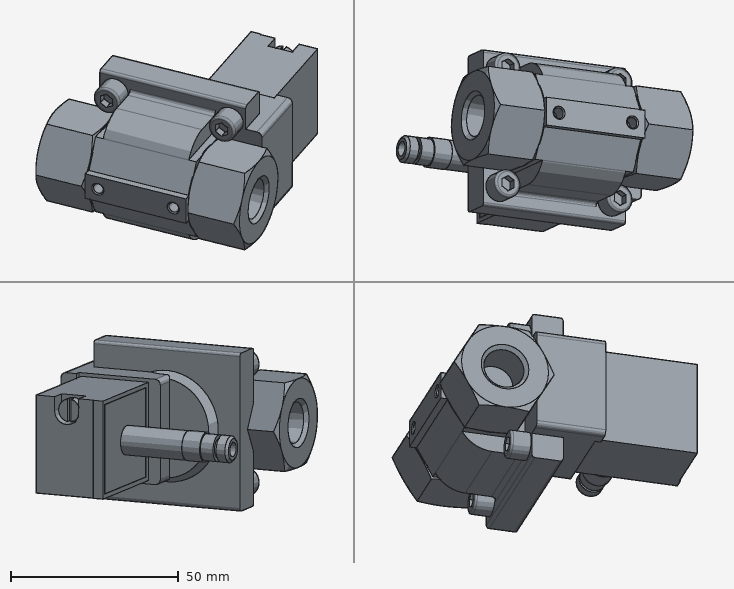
import cadquery as cq
import math


PIPE_LENGTH = 67.0
HEX_FLATS = 26.95
HEX_CHAMFER_ANGLE = 25
COLLAR_LENGTH = 0.2
NECK_LENGTH = 33.2
NECK_FLATS = 26.3
PORT_DIAMETER = 12.4
PORT_MOUTH_DIAMETER = 14.8
PORT_FLOOR_DIAMETER = 11.95
PORT_DEPTH = 12.0

CORE_LENGTH = 28.1
CORE_HALF_HEIGHT = 18.55
CORE_FILLET = 1.3
NECK_FILLET = 2.05

PAD_WIDTH = 8.6
PAD_FACE_Y = -14.9
PAD_HOLE_SPACING = 24.8
PAD_HOLE_DIAMETER = 3.2
PAD_HOLE_MOUTH_DIAMETER = 4.0
PAD_HOLE_DEPTH = 4.7

FLANGE_SIDE = 48.0
FLANGE_FRONT_Y = 11.15
FLANGE_BACK_Y = 20.9
FLANGE_FILLET = 0.95

SCREW_SPACING_X = 37.9
SCREW_SPACING_Z = 35.9
SCREW_HEAD_DIAMETER = 8.5
SCREW_HEAD_HEIGHT = 6.1
SCREW_HEAD_FILLET = 0.7
SOCKET_FLATS = 4.0
SOCKET_DEPTH = 2.5

COVER_BASE_DIAMETER = 33.8
COVER_TOP_DIAMETER = 30.3
COVER_TOP_Y = 24.0

HOUSING_LEFT_X = -2.35
HOUSING_RIGHT_X = 29.4
HOUSING_HEIGHT = 32.0
HOUSING_BACK_Y = 30.65
HOUSING_CORNER_RADIUS = 1.65
STEP_LEFT_X = 24.3
STEP_BACK_Y = 32.5

CONNECTOR_LEFT_X = 1.5
CONNECTOR_RIGHT_X = 23.6
CONNECTOR_HEIGHT = 29.8
CONNECTOR_BACK_Y = 62.7
LIP_RIGHT_X = 4.7
PANEL_BORDER_Y = 1.65
PANEL_BORDER_Z = 1.3
PANEL_RECESS = 0.15
PART_LENGTH = 78.6

POCKET_X = 13.5
POCKET_Z = 10.7
POCKET_DIAMETER = 7.85
POCKET_FLOOR_Y = 57.8
PIN_DIAMETER = 6.9
PIN_TOP_Y = 60.9
PIN_SLOT_WIDTH = 1.2
PIN_SLOT_DEPTH = 1.65

NOZZLE_Y = 45.7
NOZZLE_DIAMETER = 8.9
NOZZLE_STEP_X = -18.5
NOZZLE_STEP_DIAMETER = 9.0
NOZZLE_TIP_X = -24.4
NOZZLE_TIP_DIAMETER = 8.1
NOZZLE_END_X = -33.25
NOZZLE_END_CHAMFER = 0.8
GROOVE_LEFT_X = -29.55
GROOVE_RIGHT_X = -28.5
GROOVE_DIAMETER = 6.0
NOZZLE_BORE_DIAMETER = 4.3
NOZZLE_BORE_DEPTH = 6.3
DRILL_POINT_ANGLE = 118

COS_30 = math.cos(math.radians(30))
HEX_TIP_Y = HEX_FLATS / 2 / COS_30
CONNECTOR_LIP_Y = PART_LENGTH - HEX_TIP_Y
NECK_CORNER_Y = -NECK_FLATS / 2 * math.tan(math.radians(30))
CORE_ARC_RADIUS = 2 * (CORE_HALF_HEIGHT - NECK_FLATS / 2)
CORE_ARC_START_Y = NECK_CORNER_Y + CORE_ARC_RADIUS * COS_30


def box(x0, x1, y0, y1, height):
    """Box between two X and two Y positions, centred on Z = 0."""
    return cq.Workplane("XY").box(x1 - x0, y1 - y0, height).translate(((x0 + x1) / 2, (y0 + y1) / 2, 0))


def hex_bar(flats, x0, x1):
    """Hexagonal bar along X with its corners on the +Y and -Y sides."""
    return cq.Workplane("YZ", origin=(x0, 0, 0)).polygon(6, flats / COS_30).extrude(x1 - x0)


def rod_x(diameter, x0, x1, y=0):
    """Cylinder along X between two X positions."""
    return cq.Workplane("YZ", origin=(x0, y, 0)).circle(diameter / 2).extrude(x1 - x0)


def rod_y(diameter, x, y0, y1, z):
    """Cylinder along Y between two Y positions."""
    return cq.Workplane("XZ", origin=(x, y0, z)).circle(diameter / 2).extrude(y0 - y1)


def drill(diameter, depth):
    """Blind hole along +Z from the origin, ending in a drill point."""
    radius = diameter / 2
    point = radius / math.tan(math.radians(DRILL_POINT_ANGLE / 2))
    profile = cq.Workplane("XZ").polyline([(0, 0), (radius, 0), (radius, depth), (0, depth + point)]).close()
    return profile.revolve(360, (0, 0), (0, 1))


def pipe_end():
    """Right-hand hexagonal end with chamfered corners and a thin round collar on its inner side."""
    x0, x1 = NECK_LENGTH / 2, PIPE_LENGTH / 2
    flat_radius = HEX_FLATS / 2
    tip_rise = HEX_TIP_Y - flat_radius
    chamfer = tip_rise * math.tan(math.radians(HEX_CHAMFER_ANGLE))
    envelope = (
        cq.Workplane("XY")
        .moveTo(x0, 0)
        .lineTo(x0, flat_radius)
        .lineTo(x0 + chamfer, HEX_TIP_Y)
        .lineTo(x1 - chamfer, HEX_TIP_Y)
        .lineTo(x1, flat_radius)
        .lineTo(x1, 0)
        .close()
        .revolve(360, (0, 0), (1, 0))
    )
    collar = rod_x(HEX_FLATS, x0 - COLLAR_LENGTH, x0)
    return hex_bar(HEX_FLATS, x0, x1).intersect(envelope).union(collar)


def port():
    """Right-hand blind port with a slight taper and a 45 degree lead-in."""
    x1 = PIPE_LENGTH / 2
    x0 = x1 - PORT_DEPTH
    bore_radius = PORT_DIAMETER / 2
    mouth_radius = PORT_MOUTH_DIAMETER / 2
    lead_in_x = x1 - (mouth_radius - bore_radius)
    profile = [
        (x0, 0),
        (x0, PORT_FLOOR_DIAMETER / 2),
        (lead_in_x, bore_radius),
        (x1, mouth_radius),
        (x1, 0),
    ]
    return cq.Workplane("XY").polyline(profile).close().revolve(360, (0, 0), (1, 0))


def foot(length, front_y, half_height, fillet):
    """Block running back to the flange, with concave fillets where its long sides meet the flange."""
    fillet_y = FLANGE_FRONT_Y - fillet
    foot_height = half_height + fillet
    return (
        cq.Workplane("YZ", origin=(-length / 2, 0, 0))
        .moveTo(front_y, half_height)
        .lineTo(fillet_y, half_height)
        .radiusArc((FLANGE_FRONT_Y, foot_height), -fillet)
        .lineTo(FLANGE_FRONT_Y, -foot_height)
        .radiusArc((fillet_y, -half_height), -fillet)
        .lineTo(front_y, -half_height)
        .close()
        .extrude(length)
    )


def core_nose():
    """Front of the bulged core, curving from the neck corners out to the core's full height."""
    corner_z = NECK_FLATS / 2
    return (
        cq.Workplane("YZ", origin=(-CORE_LENGTH / 2, 0, 0))
        .moveTo(NECK_CORNER_Y, -corner_z)
        .lineTo(NECK_CORNER_Y, corner_z)
        .radiusArc((CORE_ARC_START_Y, CORE_HALF_HEIGHT), CORE_ARC_RADIUS)
        .lineTo(CORE_ARC_START_Y, -CORE_HALF_HEIGHT)
        .radiusArc((NECK_CORNER_Y, -corner_z), CORE_ARC_RADIUS)
        .close()
        .extrude(CORE_LENGTH)
    )


def neck():
    """Hexagonal middle of the body, with its front corner cut back to the pad face."""
    half_length = NECK_LENGTH / 2
    bar = hex_bar(NECK_FLATS, -half_length, half_length)
    pad = box(-half_length, half_length, PAD_FACE_Y, 0, PAD_WIDTH)
    return bar.cut(box(-half_length, half_length, -HEX_TIP_Y, PAD_FACE_Y, PAD_WIDTH)).union(pad)


def pipe_body():
    """Whole pipe body, before its holes are cut."""
    end = pipe_end()
    core_foot = foot(CORE_LENGTH, CORE_ARC_START_Y, CORE_HALF_HEIGHT, CORE_FILLET)
    neck_foot = foot(NECK_LENGTH, 0, NECK_FLATS / 2, NECK_FILLET)
    return neck().union(neck_foot).union(core_nose()).union(core_foot).union(end).union(end.mirror("YZ"))


def pad_hole(x):
    """Threaded hole in the pad with a 45 degree countersink."""
    countersink_depth = (PAD_HOLE_MOUTH_DIAMETER - PAD_HOLE_DIAMETER) / 2
    countersink = cq.Workplane(
        cq.Solid.makeCone(PAD_HOLE_MOUTH_DIAMETER / 2, PAD_HOLE_DIAMETER / 2, countersink_depth)
    )
    hole = drill(PAD_HOLE_DIAMETER, PAD_HOLE_DEPTH).union(countersink)
    return hole.rotate((0, 0, 0), (1, 0, 0), -90).translate((x, PAD_FACE_Y, 0))


def flange():
    """Square flange with rounded top and bottom edges."""
    half_side = FLANGE_SIDE / 2
    plate = box(-half_side, half_side, FLANGE_FRONT_Y, FLANGE_BACK_Y, FLANGE_SIDE)
    return plate.edges("|X").fillet(FLANGE_FILLET)


def flange_screw(x, z):
    """Socket head of a flange screw, with the hexagon corners on the +Z and -Z sides."""
    top_y = FLANGE_FRONT_Y - SCREW_HEAD_HEIGHT
    head = rod_y(SCREW_HEAD_DIAMETER, x, top_y, FLANGE_FRONT_Y, z)
    head = head.faces("<Y").edges().fillet(SCREW_HEAD_FILLET)
    socket = cq.Workplane("XZ", origin=(x, top_y, z)).transformed(rotate=(0, 0, 90))
    return head.cut(socket.polygon(6, SOCKET_FLATS / COS_30).extrude(-SOCKET_DEPTH))


def cover():
    """Conical cover around the Y axis."""
    profile = [
        (0, FLANGE_BACK_Y),
        (COVER_BASE_DIAMETER / 2, FLANGE_BACK_Y),
        (COVER_TOP_DIAMETER / 2, COVER_TOP_Y),
        (0, COVER_TOP_Y),
    ]
    return cq.Workplane("XY").polyline(profile).close().revolve(360, (0, 0), (0, 1))


def housing():
    """Solenoid housing with rounded corners and a raised step on its right-hand side."""
    block = box(HOUSING_LEFT_X, HOUSING_RIGHT_X, FLANGE_FRONT_Y, STEP_BACK_Y, HOUSING_HEIGHT)
    block = block.edges("|Y").fillet(HOUSING_CORNER_RADIUS)
    return block.cut(box(HOUSING_LEFT_X, STEP_LEFT_X, HOUSING_BACK_Y, STEP_BACK_Y, HOUSING_HEIGHT))


def connector():
    """Connector block with a lip, a framed left face and a screw pocket open towards +Z."""
    block = box(CONNECTOR_LEFT_X, CONNECTOR_RIGHT_X, HOUSING_BACK_Y, CONNECTOR_BACK_Y, CONNECTOR_HEIGHT)
    lip = box(CONNECTOR_LEFT_X, LIP_RIGHT_X, HOUSING_BACK_Y, CONNECTOR_LIP_Y, CONNECTOR_HEIGHT)
    panel = box(
        CONNECTOR_LEFT_X,
        CONNECTOR_LEFT_X + PANEL_RECESS,
        HOUSING_BACK_Y + PANEL_BORDER_Y,
        CONNECTOR_LIP_Y - PANEL_BORDER_Y,
        CONNECTOR_HEIGHT - 2 * PANEL_BORDER_Z,
    )
    return block.union(lip).cut(panel).cut(pocket()).union(connector_screw())


def pocket():
    """U-shaped pocket in the back of the connector, open towards +Z."""
    round_end = rod_y(POCKET_DIAMETER, POCKET_X, POCKET_FLOOR_Y, CONNECTOR_BACK_Y, POCKET_Z)
    radius = POCKET_DIAMETER / 2
    open_height = CONNECTOR_HEIGHT / 2 - POCKET_Z
    opening = box(POCKET_X - radius, POCKET_X + radius, POCKET_FLOOR_Y, CONNECTOR_BACK_Y, open_height)
    return round_end.union(opening.translate((0, 0, POCKET_Z + open_height / 2)))


def connector_screw():
    """Slotted screw head standing on the pocket floor."""
    head = rod_y(PIN_DIAMETER, POCKET_X, POCKET_FLOOR_Y, PIN_TOP_Y, POCKET_Z)
    half_slot = PIN_SLOT_WIDTH / 2
    slot_floor_y = PIN_TOP_Y - PIN_SLOT_DEPTH
    slot = box(POCKET_X - half_slot, POCKET_X + half_slot, slot_floor_y, PIN_TOP_Y, PIN_DIAMETER)
    return head.cut(slot.translate((0, 0, POCKET_Z)))


def nozzle():
    """Stepped hose nozzle with a ring groove and a blind bore."""
    tip = rod_x(NOZZLE_TIP_DIAMETER, NOZZLE_END_X, NOZZLE_TIP_X, NOZZLE_Y)
    tip = tip.faces("<X").edges().chamfer(NOZZLE_END_CHAMFER)
    ring = rod_x(NOZZLE_TIP_DIAMETER, GROOVE_LEFT_X, GROOVE_RIGHT_X, NOZZLE_Y)
    groove = ring.cut(rod_x(GROOVE_DIAMETER, GROOVE_LEFT_X, GROOVE_RIGHT_X, NOZZLE_Y))
    step = rod_x(NOZZLE_STEP_DIAMETER, NOZZLE_TIP_X, NOZZLE_STEP_X, NOZZLE_Y)
    shank = rod_x(NOZZLE_DIAMETER, NOZZLE_STEP_X, CONNECTOR_LEFT_X + PANEL_RECESS, NOZZLE_Y)
    bore = drill(NOZZLE_BORE_DIAMETER, NOZZLE_BORE_DEPTH).rotate((0, 0, 0), (0, 1, 0), 90)
    return tip.cut(groove).union(step).union(shank).cut(bore.translate((NOZZLE_END_X, NOZZLE_Y, 0)))


result = pipe_body().union(flange()).union(cover()).union(housing()).union(connector()).union(nozzle())
result = result.cut(port()).cut(port().mirror("YZ"))

for side in (-1, 1):
    result = result.cut(pad_hole(side * PAD_HOLE_SPACING / 2))
    for level in (-1, 1):
        result = result.union(flange_screw(side * SCREW_SPACING_X / 2, level * SCREW_SPACING_Z / 2))